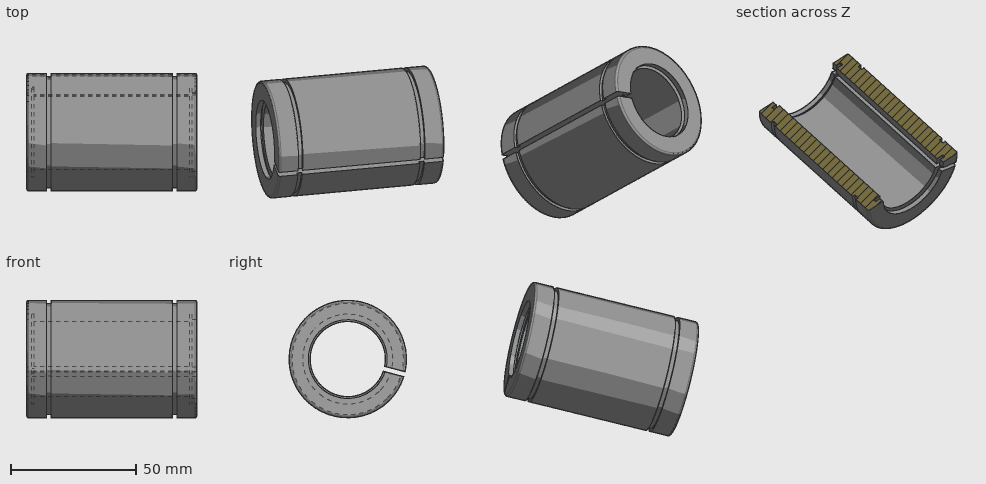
import cadquery as cq


length = 68.0
outer_diameter = 47.0
bore_diameter = 30.0
end_fillet_radius = 0.8

ring_groove_span = 52.1
ring_groove_width = 1.85
ring_groove_diameter = 44.5

lip_diameter = 31.5
lip_width = 2.0
seal_groove_diameter = 36.0
seal_groove_width = 1.0

slit_width = 2.0
slit_angle = 15.0

END_SIDES = (-1, 1)


def cylinder_along_x(diameter, start_x, depth):
    return cq.Workplane("YZ", origin=(start_x, 0, 0)).circle(diameter / 2).extrude(depth)


def make_sleeve():
    body = cylinder_along_x(outer_diameter, -length / 2, length)
    body = body.edges("%CIRCLE").fillet(end_fillet_radius)
    return body.cut(cylinder_along_x(bore_diameter, -length / 2, length))


def make_ring_groove(side):
    center_x = side * (ring_groove_span - ring_groove_width) / 2
    start_x = center_x - ring_groove_width / 2
    ring = cylinder_along_x(outer_diameter, start_x, ring_groove_width)
    return ring.cut(cylinder_along_x(ring_groove_diameter, start_x, ring_groove_width))


def make_bore_end(side):
    end_x = side * length / 2
    lip_inner_x = end_x - side * lip_width
    lip_opening = cylinder_along_x(lip_diameter, end_x, -side * lip_width)
    seal_groove = cylinder_along_x(seal_groove_diameter, lip_inner_x, -side * seal_groove_width)
    return lip_opening.union(seal_groove)


def make_slit():
    slab = cq.Workplane("XY").box(length, outer_diameter, slit_width, centered=(True, False, True))
    return slab.rotate((0, 0, 0), (1, 0, 0), -slit_angle)


result = make_sleeve()
for side in END_SIDES:
    result = result.cut(make_ring_groove(side))
    result = result.cut(make_bore_end(side))
result = result.cut(make_slit())